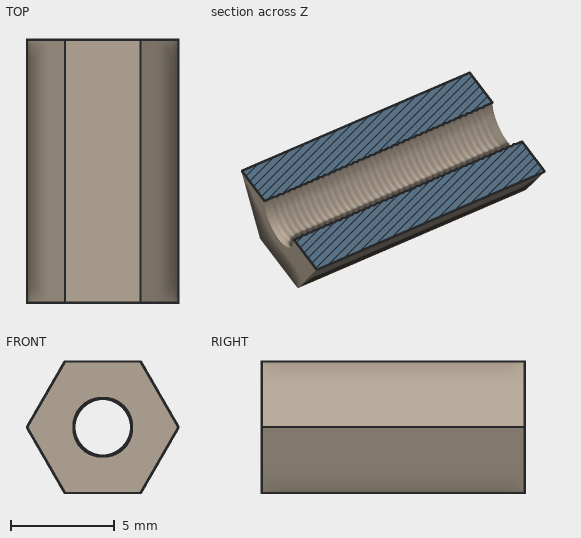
import cadquery as cq
import math

across_flats = 6.35
length = 12.7
across_corners = across_flats / math.cos(math.pi / 6)

bore_radius = 2.845 / 2
crest_radius = 2.74 / 2
pitch = 0.3175
ridge_width = 0.25
ridge_burial = 0.01
plain_end_length = 0.23
thread_start_angle = 180


def hex_body():
    """Hexagonal bar along Z, centred on the origin."""
    return cq.Workplane("XY").polygon(6, across_corners).extrude(length / 2, both=True)


def bore():
    """Through bore at the root of the thread."""
    return cq.Workplane("XY").circle(bore_radius).extrude(length / 2, both=True)


def thread_ridge():
    """Triangular helical ridge with its base buried slightly in the bore wall."""
    rise = length - 2 * plain_end_length - ridge_width
    flank_slope = (ridge_width / 2) / (bore_radius - crest_radius)
    base_radius = bore_radius + ridge_burial
    base_half_width = ridge_width / 2 + ridge_burial * flank_slope
    helix = cq.Wire.makeHelix(pitch, rise, bore_radius, lefthand=True)
    profile = cq.Workplane("XZ").polyline([
        (crest_radius, 0),
        (base_radius, base_half_width),
        (base_radius, -base_half_width),
    ]).close()
    ridge = profile.sweep(cq.Workplane(obj=helix), isFrenet=True)
    ridge = ridge.translate((0, 0, -rise / 2))
    return ridge.rotate((0, 0, 0), (0, 0, 1), thread_start_angle)


standoff = hex_body().cut(bore()).union(thread_ridge())
result = standoff.rotate((0, 0, 0), (1, 0, 0), -90)